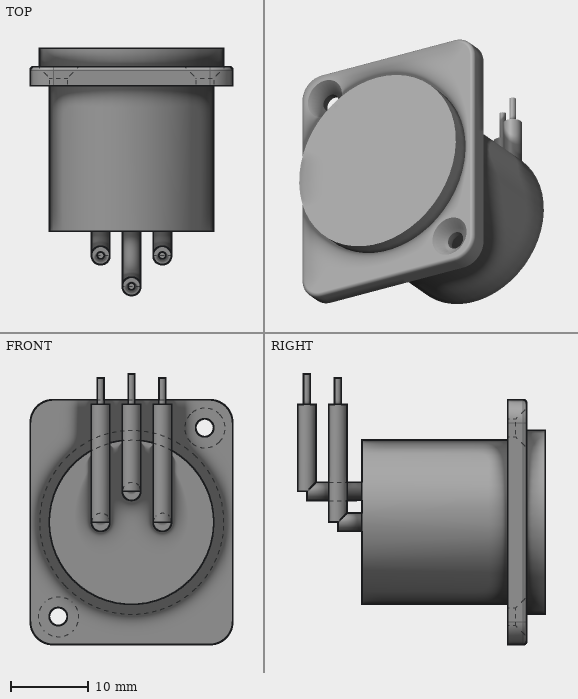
import cadquery as cq


PLATE_WIDTH = 26.29
PLATE_HEIGHT = 31.8
PLATE_THICKNESS = 2.5
PLATE_CORNER_RADIUS = 3.0
PLATE_EDGE_FILLET = 0.5

HOLE_DIAMETER = 2.3
HOLE_STRAIGHT_DEPTH = 1.0
COUNTERSINK_DIAMETER = 5.2
HOLE_OFFSET_X = 9.5
HOLE_OFFSET_Z = 12.25

BEZEL_DIAMETER = 23.9
BEZEL_LENGTH = 2.4
BODY_DIAMETER = 21.35
BODY_LENGTH = 18.9

SLEEVE_DIAMETER = 2.4
SLEEVE_TOP_Z = 15.3
PIN_DIAMETER = 0.9
OUTER_LEAD_X = 4.0
OUTER_LEAD_Z = 0.0
OUTER_LEAD_REACH = 3.12
OUTER_PIN_LENGTH = 3.44
LEAD_ROW_STEP = 4.01
MIDDLE_LEAD_Z = OUTER_LEAD_Z + LEAD_ROW_STEP
MIDDLE_LEAD_REACH = OUTER_LEAD_REACH + LEAD_ROW_STEP
MIDDLE_PIN_LENGTH = 3.94


def cylinder_along_y(diameter, start_y, end_y, x=0.0, z=0.0):
    axis_point = cq.Vector(x, start_y, z)
    direction = cq.Vector(0, 1, 0)
    return cq.Workplane(cq.Solid.makeCylinder(diameter / 2, end_y - start_y, axis_point, direction))


def cylinder_along_z(diameter, start_z, end_z, x, y):
    axis_point = cq.Vector(x, y, start_z)
    return cq.Workplane(cq.Solid.makeCylinder(diameter / 2, end_z - start_z, axis_point))


def make_countersunk_hole(x, z):
    straight = cylinder_along_y(HOLE_DIAMETER, 0, PLATE_THICKNESS, x, z)
    countersink = cq.Solid.makeCone(
        HOLE_DIAMETER / 2,
        COUNTERSINK_DIAMETER / 2,
        PLATE_THICKNESS - HOLE_STRAIGHT_DEPTH,
        cq.Vector(x, HOLE_STRAIGHT_DEPTH, z),
        cq.Vector(0, 1, 0),
    )
    return straight.union(cq.Workplane(countersink))


def make_plate():
    plate = (
        cq.Workplane("XY")
        .box(PLATE_WIDTH, PLATE_THICKNESS, PLATE_HEIGHT, centered=(True, False, True))
        .edges("|Y")
        .fillet(PLATE_CORNER_RADIUS)
        .faces(">Y")
        .edges()
        .fillet(PLATE_EDGE_FILLET)
    )
    for side in (-1, 1):
        plate = plate.cut(make_countersunk_hole(side * HOLE_OFFSET_X, side * HOLE_OFFSET_Z))
    return plate


def make_lead(x, z, reach, pin_length):
    """Square elbow: each leg ends flat on the centre line of the other."""
    bend_y = -BODY_LENGTH - reach
    horizontal_leg = cylinder_along_y(SLEEVE_DIAMETER, bend_y, -BODY_LENGTH, x, z)
    upright_leg = cylinder_along_z(SLEEVE_DIAMETER, z, SLEEVE_TOP_Z, x, bend_y)
    pin = cylinder_along_z(PIN_DIAMETER, SLEEVE_TOP_Z, SLEEVE_TOP_Z + pin_length, x, bend_y)
    return horizontal_leg.union(upright_leg).union(pin)


bezel = cylinder_along_y(BEZEL_DIAMETER, PLATE_THICKNESS, PLATE_THICKNESS + BEZEL_LENGTH)
body = cylinder_along_y(BODY_DIAMETER, -BODY_LENGTH, 0)

result = make_plate().union(bezel).union(body)
for lead_x in (-OUTER_LEAD_X, OUTER_LEAD_X):
    result = result.union(make_lead(lead_x, OUTER_LEAD_Z, OUTER_LEAD_REACH, OUTER_PIN_LENGTH))
result = result.union(make_lead(0.0, MIDDLE_LEAD_Z, MIDDLE_LEAD_REACH, MIDDLE_PIN_LENGTH))